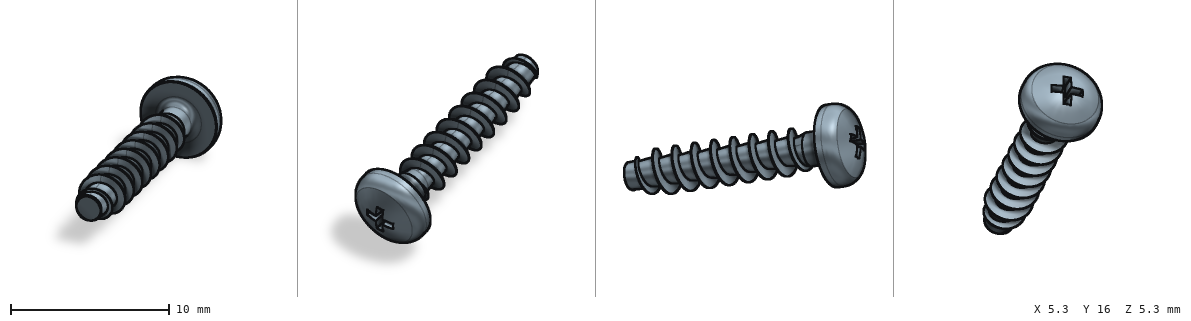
import cadquery as cq
import math


head_radius = 2.65
rim_height = 0.51
rim_chamfer = 0.05
dome_edge_radius = 2.2
dome_edge_height = 1.42
dome_height = 1.98
dome_sphere_radius = (
    (dome_edge_radius**2 + (dome_height - dome_edge_height) ** 2) / (2 * (dome_height - dome_edge_height))
)

recess_span = 2.08
recess_wing_width = 0.51
recess_depth = 1.12
recess_taper = 6

shank_length = 14.0
neck_radius = 1.1
neck_length = 1.5
neck_fillet = 0.5
tip_face_radius = 0.83
core_radius = 0.86
cone_length = 0.96
cone_end_radius = 0.78

pitch = 1.34
crest_radius = 1.5
crest_width = 0.06
shoulder_radius = 1.0
upper_half_width = 0.19
lower_half_width = 0.18

first_crest = -1.28
start_growth = 0.48
start_turns = 1.0
fade_start_turn = 8.0
fade_turns = 1.6
smallest_growth = 0.05
first_turn = -1
turn_count = 11
points_per_turn = 24
ridge_corners = 4


def make_head():
    """Revolved head: chamfered rim, rounded side and shallow spherical dome."""
    half_angle = math.asin(dome_edge_radius / dome_sphere_radius) / 2
    dome_centre = dome_height - dome_sphere_radius
    dome_middle = (
        dome_sphere_radius * math.sin(half_angle),
        dome_centre + dome_sphere_radius * math.cos(half_angle),
    )
    return (
        cq.Workplane("XY")
        .lineTo(head_radius - rim_chamfer, 0)
        .lineTo(head_radius, rim_chamfer)
        .lineTo(head_radius, rim_height)
        .tangentArcPoint((dome_edge_radius, dome_edge_height), relative=False)
        .threePointArc(dome_middle, (0, dome_height))
        .close()
        .revolve(360, (0, 0, 0), (0, 1, 0))
    )


def make_recess():
    """Cross-shaped tool recess that narrows towards its floor."""
    top = cq.Workplane("XZ", origin=(0, dome_height, 0))
    wing_x = top.rect(recess_span, recess_wing_width).extrude(recess_depth, taper=recess_taper)
    wing_z = top.rect(recess_wing_width, recess_span).extrude(recess_depth, taper=recess_taper)
    return wing_x.union(wing_z)


def make_neck():
    """Revolved plain neck with a concave fillet under the head."""
    fillet_offset = neck_fillet * (1 - math.sqrt(0.5))
    return (
        cq.Workplane("XY")
        .lineTo(neck_radius + neck_fillet, 0)
        .threePointArc((neck_radius + fillet_offset, -fillet_offset), (neck_radius, -neck_fillet))
        .lineTo(neck_radius, -neck_length)
        .lineTo(0, -neck_length)
        .close()
        .revolve(360, (0, 0, 0), (0, 1, 0))
    )


def make_cone():
    """Revolved cone that eases the neck into the thread core."""
    return (
        cq.Workplane("XY")
        .lineTo(neck_radius, 0)
        .lineTo(neck_radius, -neck_length)
        .lineTo(cone_end_radius, -neck_length - cone_length)
        .lineTo(0, -neck_length - cone_length)
        .close()
        .revolve(360, (0, 0, 0), (0, 1, 0))
    )


def ridge_growth(turn):
    """Ridge size, as a share of full size, after the given number of turns."""
    rising = start_growth + (1 - start_growth) * max(turn, 0) / start_turns
    fading = 1 - (turn - fade_start_turn) / fade_turns
    return max(smallest_growth, min(1, rising, fading))


def thread_section(turn):
    """Ridge corners as (axial offset, radius), from the top of the ridge down to its shoulder."""
    growth = ridge_growth(turn)
    upper = upper_half_width * growth
    lower = lower_half_width * growth
    half_crest = crest_width * growth / 2
    crest = core_radius + (crest_radius - core_radius) * growth
    shoulder = core_radius + (shoulder_radius - core_radius) * growth
    return [(upper, core_radius), (half_crest, crest), (-half_crest, crest), (-lower, shoulder)]


def corner_point(turn, corner):
    """Ridge corner on the right-hand helix; turns count from +Z towards -X, moving along -Y."""
    offset, radius = thread_section(turn)[corner]
    angle = 2 * math.pi * turn
    return cq.Vector(-radius * math.sin(angle), first_crest - pitch * turn + offset, radius * math.cos(angle))


def corner_edge(turn, corner):
    """One full turn of a ridge corner, starting at the given turn."""
    return cq.Edge.makeSpline(
        [corner_point(turn + step / points_per_turn, corner) for step in range(points_per_turn + 1)]
    )


def axis_point(turn):
    """Point on the screw axis level with the top of the ridge."""
    return cq.Vector(0, corner_point(turn, 0).y, 0)


def end_ramp(turn):
    """Helical ramp from the top of the ridge to the axis, closing one end of the threaded body."""
    axis_edge = cq.Edge.makeLine(axis_point(turn), axis_point(turn + 1))
    return cq.Face.makeRuledSurface(corner_edge(turn, 0), axis_edge)


def end_step(turn):
    """Flat radial face, one pitch tall, joining the two edges of an end ramp."""
    corners = [corner_point(turn, corner) for corner in range(ridge_corners)]
    outline = [axis_point(turn), *corners, corner_point(turn + 1, 0), axis_point(turn + 1)]
    return cq.Face.makeFromWires(cq.Wire.makePolygon(outline, close=True))


def make_threaded_body():
    """Core and thread as one solid: ruled faces between the corner helices, closed at both ends."""
    last_turn = first_turn + turn_count
    faces = [end_ramp(first_turn), end_step(first_turn), end_ramp(last_turn), end_step(last_turn)]
    for turn in range(first_turn, last_turn):
        edges = [corner_edge(turn, corner) for corner in range(ridge_corners)]
        edges.append(corner_edge(turn + 1, 0))
        faces += [cq.Face.makeRuledSurface(upper, lower) for upper, lower in zip(edges, edges[1:])]
    return cq.Workplane(cq.Solid.makeSolid(cq.Shell.makeShell(faces)))


def make_trimming_body():
    """Revolved envelope of the threaded length, flat at the neck and chamfered at the tip."""
    chamfer_top = head_radius - tip_face_radius - shank_length
    return (
        cq.Workplane("XY")
        .moveTo(0, -neck_length)
        .lineTo(head_radius, -neck_length)
        .lineTo(head_radius, chamfer_top)
        .lineTo(tip_face_radius, -shank_length)
        .lineTo(0, -shank_length)
        .close()
        .revolve(360, (0, 0, 0), (0, 1, 0))
    )


head = make_head().cut(make_recess())
threaded_shank = make_threaded_body().union(make_cone()).intersect(make_trimming_body())
result = head.union(make_neck()).union(threaded_shank)